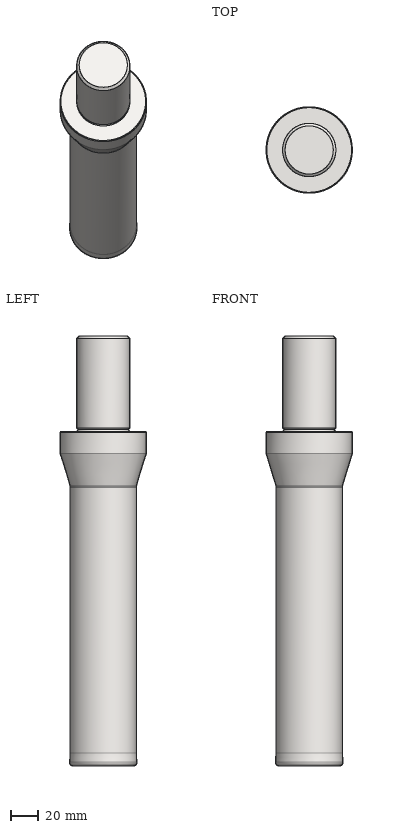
import cadquery as cq

TOTAL_HEIGHT = 313.7
FLARE_HEIGHT = 9.5
TUBE_TOP = 203.5
CONE_BOTTOM = 204.5
COLLAR_BOTTOM = 228.0
COLLAR_TOP = 244.0

TUBE_RADIUS = 48.5 / 2
FOOT_RADIUS = 49.5 / 2
COLLAR_RADIUS = 63.0 / 2
SHANK_RADIUS = 39.0 / 2

FOOT_FILLET = 2.8
COLLAR_CHAMFER = 0.5
SHANK_CHAMFER = 2.0
RELIEF_DEPTH = 1.3
RELIEF_RADIUS = SHANK_RADIUS - RELIEF_DEPTH


def revolve_profile(points):
    """Revolve a closed (radius, height) outline a full turn about Z."""
    outline = cq.Workplane("XZ").polyline(points).close()
    return outline.revolve(360, (0, 0, 0), (0, 1, 0))


def make_tube():
    """Long cylindrical body whose foot flares slightly to a rounded end."""
    body = revolve_profile([
        (0, 0),
        (FOOT_RADIUS, 0),
        (TUBE_RADIUS, FLARE_HEIGHT),
        (TUBE_RADIUS, TUBE_TOP),
        (0, TUBE_TOP),
    ])
    return body.faces("<Z").edges().fillet(FOOT_FILLET)


def make_head():
    """Conical collar with a chamfered shank rising from a V-groove."""
    groove_bottom = COLLAR_TOP + RELIEF_DEPTH
    return revolve_profile([
        (0, TUBE_TOP),
        (TUBE_RADIUS, TUBE_TOP),
        (TUBE_RADIUS, CONE_BOTTOM),
        (COLLAR_RADIUS, COLLAR_BOTTOM),
        (COLLAR_RADIUS, COLLAR_TOP - COLLAR_CHAMFER),
        (COLLAR_RADIUS - COLLAR_CHAMFER, COLLAR_TOP),
        (SHANK_RADIUS, COLLAR_TOP),
        (RELIEF_RADIUS, groove_bottom),
        (SHANK_RADIUS, groove_bottom + RELIEF_DEPTH),
        (SHANK_RADIUS, TOTAL_HEIGHT - SHANK_CHAMFER),
        (SHANK_RADIUS - SHANK_CHAMFER, TOTAL_HEIGHT),
        (0, TOTAL_HEIGHT),
    ])


tube = make_tube()
head = make_head()

result = cq.Compound.makeCompound([tube.val(), head.val()])